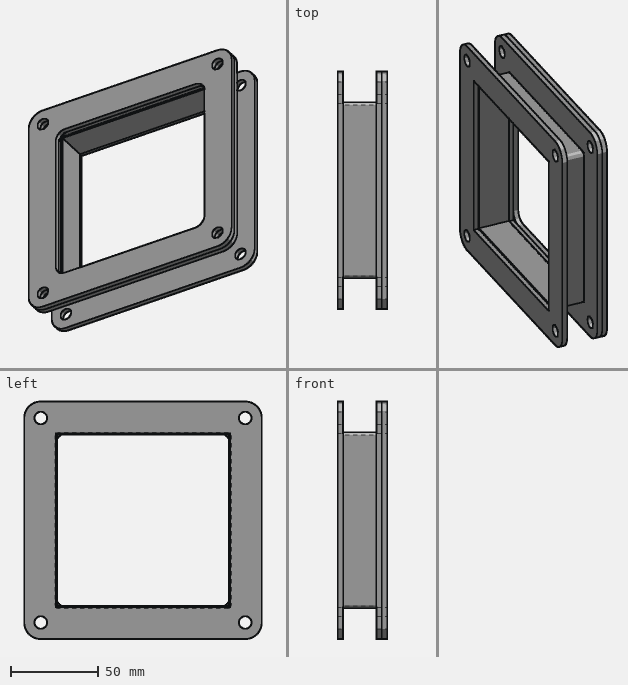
import cadquery as cq

plate_side = 136.5
plate_thickness = 3.1
plate_corner_radius = 9.5
opening_side = 100.0
rear_opening_corner_radius = 6.3

hole_diameter = 7.1
hole_inset = 9.5
hole_spacing = plate_side - 2 * hole_inset

tube_length = 19.1
tube_side = 101.2
tube_wall = 1.4
tube_corner_radius = 2.6
tube_bore_side = tube_side - 2 * tube_wall

total_length = 3 * plate_thickness + tube_length
front_plate_x = -total_length / 2
tube_x = front_plate_x + plate_thickness
middle_plate_x = tube_x + tube_length
rear_plate_x = middle_plate_x + plate_thickness


def square_block(start_x, length, side, corner_radius=0):
    """Square bar along X, with its long edges rounded when a radius is given."""
    block = cq.Workplane("YZ", origin=(start_x, 0, 0)).rect(side, side).extrude(length)
    if corner_radius > 0:
        block = block.edges("|X").fillet(corner_radius)
    return block


def corner_holes(start_x):
    """Four cylinders that cut the screw holes of one plate."""
    return (
        cq.Workplane("YZ", origin=(start_x, 0, 0))
        .rect(hole_spacing, hole_spacing, forConstruction=True)
        .vertices()
        .circle(hole_diameter / 2)
        .extrude(plate_thickness)
    )


def make_plate(start_x, opening_corner_radius=0):
    """Rounded square plate with a square opening and four corner holes."""
    outline = square_block(start_x, plate_thickness, plate_side, plate_corner_radius)
    opening = square_block(start_x, plate_thickness, opening_side, opening_corner_radius)
    return outline.cut(opening).cut(corner_holes(start_x))


def make_tube():
    """Square tube with rounded outer edges and a sharp-cornered bore."""
    outside = square_block(tube_x, tube_length, tube_side, tube_corner_radius)
    bore = square_block(tube_x, tube_length, tube_bore_side)
    return outside.cut(bore)


square_opening_plates = [make_plate(x).val() for x in (front_plate_x, middle_plate_x)]
rear_plate = make_plate(rear_plate_x, rear_opening_corner_radius)
tube = make_tube()

result = cq.Compound.makeCompound([*square_opening_plates, rear_plate.val(), tube.val()])